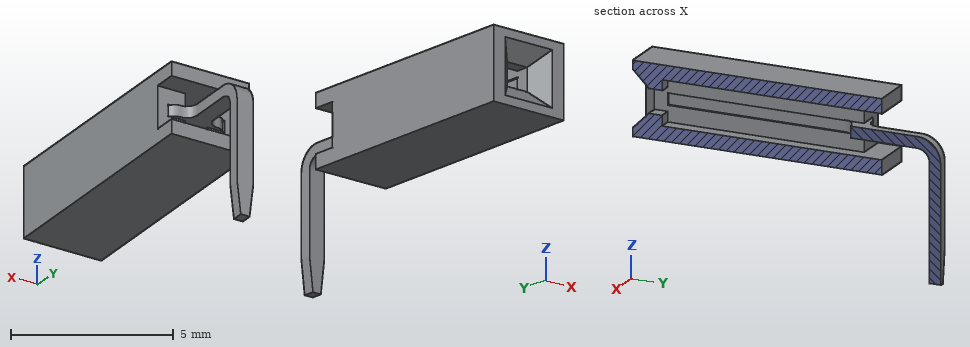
import cadquery as cq
import math

housing_width = 2.84
housing_height = 2.5
housing_length = 8.49
slot_height = 1.49
slot_depth = 0.8
funnel_mouth = 1.9
entry_hole = 0.8
entry_depth = 1.01
funnel_depth = (funnel_mouth - entry_hole) / 2

overall_length = 10.5
overall_height = 5.8
strip_thickness = 0.4
tail_width = 0.6
tip_width = 0.33
tip_length = 1.15
bend_inner_radius = 0.4
bend_outer_radius = bend_inner_radius + strip_thickness
shoulder_radius = 0.37
shoulder_start = 8.21
fork_gap = 0.95
fork_base_thickness = 0.42
fork_width = tail_width + 4 * shoulder_radius

strip_top = strip_thickness / 2
tail_bottom = housing_height / 2 - overall_height


def box(width, length, height, front):
    """Box centred on the socket axis, running back from Y = front."""
    return (cq.Workplane("XY").box(width, length, height, centered=(True, False, True))
            .translate((0, front, 0)))


def make_housing():
    body = box(housing_width, housing_length, housing_height, 0)
    funnel = (cq.Workplane("XZ").rect(funnel_mouth, funnel_mouth)
              .workplane(offset=-funnel_depth).rect(entry_hole, entry_hole)
              .loft(ruled=True))
    hole = box(entry_hole, entry_depth, entry_hole, 0)
    cavity_length = housing_length - entry_depth
    cavity = box(entry_hole, cavity_length, slot_height, entry_depth)
    tine_slot = box(fork_width, cavity_length, strip_thickness, entry_depth)
    rear_slot = box(housing_width, slot_depth, slot_height, housing_length - slot_depth)
    return body.cut(funnel).cut(hole).cut(cavity).cut(tine_slot).cut(rear_slot)


def make_fork():
    """Two tines joined by a round-bottomed web that narrows to the tail width."""
    half_tail = tail_width / 2
    half_fork = fork_width / 2
    half_gap = fork_gap / 2
    diagonal = shoulder_radius * math.sqrt(0.5)
    shoulder_x = half_tail + shoulder_radius
    shoulder_y = shoulder_start - shoulder_radius
    convex_y = shoulder_y - shoulder_radius
    gap_center_y = shoulder_y - fork_base_thickness - half_gap

    concave_mid = (shoulder_x - diagonal, shoulder_start - diagonal)
    convex_mid = (shoulder_x + diagonal, convex_y + diagonal)
    return (cq.Workplane("XY").workplane(offset=-strip_thickness / 2)
            .moveTo(half_tail, shoulder_start)
            .threePointArc(concave_mid, (shoulder_x, shoulder_y))
            .threePointArc(convex_mid, (half_fork, convex_y))
            .lineTo(half_fork, entry_depth)
            .lineTo(half_gap, entry_depth)
            .lineTo(half_gap, gap_center_y)
            .threePointArc((0, gap_center_y + half_gap), (-half_gap, gap_center_y))
            .lineTo(-half_gap, entry_depth)
            .lineTo(-half_fork, entry_depth)
            .lineTo(-half_fork, convex_y)
            .threePointArc((-convex_mid[0], convex_mid[1]), (-shoulder_x, shoulder_y))
            .threePointArc((-concave_mid[0], concave_mid[1]), (-half_tail, shoulder_start))
            .close().extrude(strip_thickness))


def make_tail():
    """Strip bent down through a right angle, with a tapered tip."""
    bend_y = overall_length - bend_outer_radius
    bend_z = strip_top - bend_outer_radius
    outer_offset = bend_outer_radius * math.sqrt(0.5)
    inner_offset = bend_inner_radius * math.sqrt(0.5)
    strip = (cq.Workplane("YZ").workplane(offset=-tail_width / 2)
             .moveTo(shoulder_start, strip_top)
             .lineTo(bend_y, strip_top)
             .threePointArc((bend_y + outer_offset, bend_z + outer_offset), (overall_length, bend_z))
             .lineTo(overall_length, tail_bottom)
             .lineTo(overall_length - strip_thickness, tail_bottom)
             .lineTo(overall_length - strip_thickness, bend_z)
             .threePointArc((bend_y + inner_offset, bend_z + inner_offset),
                            (bend_y, bend_z + bend_inner_radius))
             .lineTo(shoulder_start, -strip_top)
             .close().extrude(tail_width))
    for side in (-1, 1):
        tip_waste = (cq.Workplane("XZ", origin=(0, overall_length, 0))
                     .moveTo(side * tail_width / 2, tail_bottom + tip_length)
                     .lineTo(side * tail_width / 2, tail_bottom)
                     .lineTo(side * tip_width / 2, tail_bottom)
                     .close().extrude(strip_thickness))
        strip = strip.cut(tip_waste)
    return strip


housing = make_housing()
contact = make_fork().union(make_tail())

result = cq.Compound.makeCompound([housing.val(), contact.val()])